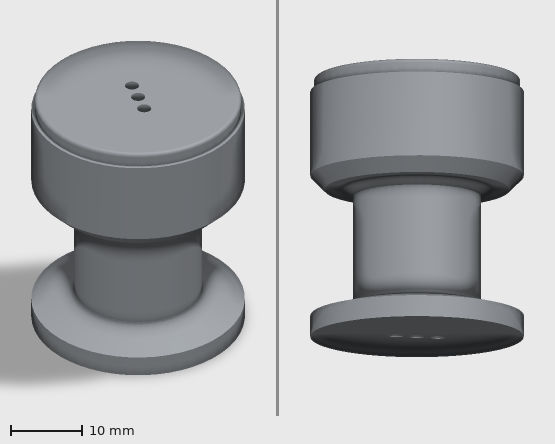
import cadquery as cq
import math

total_height = 37.0
outer_diameter = 30.0
outer_radius = outer_diameter / 2

flange_rim_height = 3.0
flange_slope_degrees = 15.0
neck_radius = 18.0 / 2
neck_root_fillet = 0.5
neck_top = 20.0
shoulder_height = 1.0
shoulder_slope_degrees = 33.0

cap_bottom = neck_top + shoulder_height
collar_chamfer = 2.0
step_height = 2.0
step_bottom = total_height - step_height
step_radius = 29.0 / 2
top_edge_fillet = 0.5

hole_count = 3
hole_diameter = 2.0
hole_pitch = 3.0


def revolve_profile(points):
    """Revolve a closed (radius, height) outline about the Z axis."""
    return cq.Workplane("XZ").polyline(points).close().revolve(360, (0, 0), (0, 1))


def make_hole_cutters():
    """Row of cylinders along X, spanning the full height."""
    return (
        cq.Workplane("XY")
        .rarray(hole_pitch, 0.37, hole_count, 1)
        .circle(hole_diameter / 2)
        .extrude(total_height)
    )


def make_stem():
    """Flanged stem, conical above the flange rim and flared below the cap."""
    flange_slope_rise = (outer_radius - neck_radius) * math.tan(math.radians(flange_slope_degrees))
    neck_bottom = flange_rim_height + flange_slope_rise
    shoulder_spread = shoulder_height / math.tan(math.radians(shoulder_slope_degrees))
    shoulder_radius = neck_radius + shoulder_spread

    stem = revolve_profile([
        (0, 0),
        (outer_radius, 0),
        (outer_radius, flange_rim_height),
        (neck_radius, neck_bottom),
        (neck_radius, neck_top),
        (shoulder_radius, cap_bottom),
        (0, cap_bottom),
    ])
    neck_root = cq.selectors.BoxSelector(
        (-outer_radius, -outer_radius, neck_bottom - neck_root_fillet),
        (outer_radius, outer_radius, neck_bottom + neck_root_fillet),
        boundingbox=True,
    )
    return stem.edges(neck_root).fillet(neck_root_fillet).cut(make_hole_cutters())


def make_cap():
    """Collar with a chamfered lower edge and a lid step with a rounded rim."""
    cap = revolve_profile([
        (0, cap_bottom),
        (outer_radius - collar_chamfer, cap_bottom),
        (outer_radius, cap_bottom + collar_chamfer),
        (outer_radius, step_bottom),
        (step_radius, step_bottom),
        (step_radius, total_height),
        (0, total_height),
    ])
    return cap.faces(">Z").edges().fillet(top_edge_fillet).cut(make_hole_cutters())


stem = make_stem()
cap = make_cap()

result = cq.Compound.makeCompound([stem.solids().val(), cap.solids().val()])